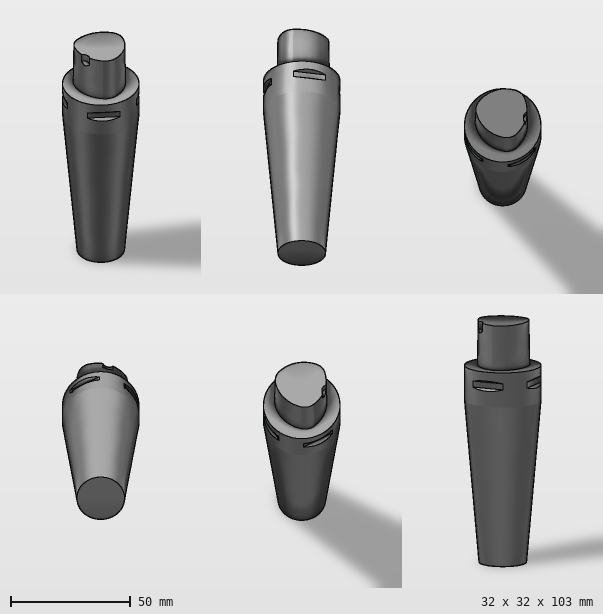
import cadquery as cq
import math

total_length = 103.0
collar_diameter = 32.0
tip_diameter = 20.0
collar_top = 84.0
collar_height = 14.9
collar_bottom = collar_top - collar_height

lobe_count = 3
lobe_center_offset = 5.4
flank_center_offset = 4.3
lobe_radius_base = 6.3
lobe_radius_top = 6.0

groove_count = 4
groove_first_angle = 45.0
groove_center_z = 78.1
groove_floor_height = 2.6
groove_depth = 1.5
groove_wall_angle = 30.0

notch_radius = 3.0
notch_inner_y = -8.9
notch_wall_depth = 3.3
notch_cone_depth = notch_radius

cut_clearance = 1.0


def polar(radius, angle):
    """Point at a radius and an angle in degrees."""
    return (radius * math.cos(math.radians(angle)), radius * math.sin(math.radians(angle)))


def lobed_wire(lobe_radius, z):
    """Closed outline of alternating lobe and flank arcs that meet tangentially."""
    pitch = 360.0 / lobe_count
    half_pitch = pitch / 2
    flank_x, flank_y = polar(flank_center_offset, pitch)
    along_lobe = lobe_center_offset - flank_x
    center_distance = math.hypot(along_lobe, flank_y)
    tangent_x = lobe_center_offset + lobe_radius * along_lobe / center_distance
    tangent_y = lobe_radius * flank_y / center_distance
    tangent_radius = math.hypot(tangent_x, tangent_y)
    tangent_angle = math.degrees(math.atan2(tangent_y, tangent_x))
    lobe_reach = lobe_center_offset + lobe_radius
    flank_reach = center_distance + lobe_radius - flank_center_offset

    first_lobe = 90.0
    outline = cq.Workplane("XY", origin=(0, 0, z))
    outline = outline.moveTo(*polar(tangent_radius, first_lobe - tangent_angle))
    for index in range(lobe_count):
        lobe = first_lobe + index * pitch
        outline = outline.threePointArc(
            polar(lobe_reach, lobe), polar(tangent_radius, lobe + tangent_angle)
        )
        outline = outline.threePointArc(
            polar(flank_reach, lobe + half_pitch),
            polar(tangent_radius, lobe + pitch - tangent_angle),
        )
    return outline.close().val()


def make_body():
    """Tapered body with the cylindrical collar above it."""
    return (
        cq.Workplane("XZ")
        .moveTo(0, 0)
        .lineTo(tip_diameter / 2, 0)
        .lineTo(collar_diameter / 2, collar_bottom)
        .lineTo(collar_diameter / 2, collar_top)
        .lineTo(0, collar_top)
        .close()
        .revolve(360, (0, 0), (0, 1))
    )


def make_shank():
    """Tapered lobed shank standing on the collar."""
    base = lobed_wire(lobe_radius_base, collar_top)
    top = lobed_wire(lobe_radius_top, total_length)
    return cq.Workplane("XY").newObject([cq.Solid.makeLoft([base, top], True)])


def groove_cutter(angle):
    """Straight groove of trapezoidal section, flaring outward."""
    floor_x = collar_diameter / 2 - groove_depth
    mouth_x = collar_diameter / 2 + cut_clearance
    floor_half = groove_floor_height / 2
    mouth_half = floor_half + (mouth_x - floor_x) * math.tan(math.radians(groove_wall_angle))
    return (
        cq.Workplane("XZ", origin=(0, 0, groove_center_z))
        .polyline([
            (floor_x, -floor_half),
            (mouth_x, -mouth_half),
            (mouth_x, mouth_half),
            (floor_x, floor_half),
        ])
        .close()
        .extrude(collar_diameter / 2, both=True)
        .rotate((0, 0, 0), (0, 0, 1), angle)
    )


def notch_cutter():
    """Vertical cylinder with a conical tip, lying mostly outside the shank."""
    wall_bottom = total_length - notch_wall_depth
    return (
        cq.Workplane("XZ", origin=(0, notch_inner_y - notch_radius, 0))
        .moveTo(0, wall_bottom - notch_cone_depth)
        .lineTo(notch_radius, wall_bottom)
        .lineTo(notch_radius, total_length + cut_clearance)
        .lineTo(0, total_length + cut_clearance)
        .close()
        .revolve(360, (0, 0), (0, 1))
    )


result = make_body().union(make_shank())
for groove_index in range(groove_count):
    groove_angle = groove_first_angle + groove_index * 360.0 / groove_count
    result = result.cut(groove_cutter(groove_angle))
result = result.cut(notch_cutter())